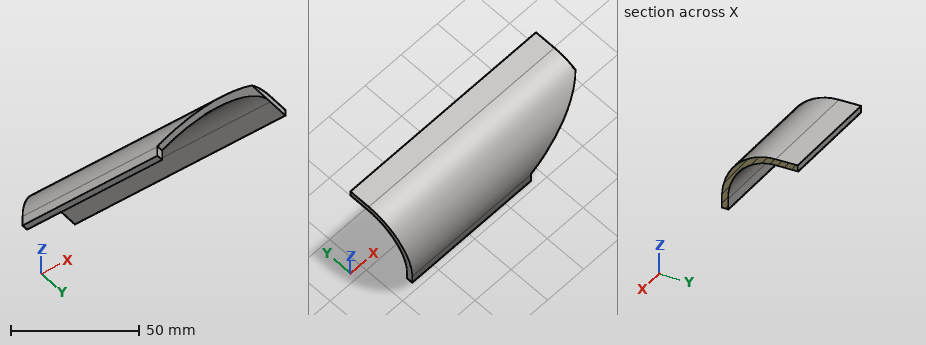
import cadquery as cq
import math

length = 103.0
thickness = 3.0
outer_radius = 24.0
top_flange = 10.0
side_flange = 5.0
lower_length = 66.0
nose_height = 3.1

width = top_flange + outer_radius
height = side_flange + outer_radius
inner_radius = outer_radius - thickness


def bent_sheet():
    """Flat top, quarter-round bend and short vertical flange, extruded along X."""
    diagonal = math.cos(math.radians(45))
    outer_mid = outer_radius - outer_radius * diagonal
    inner_mid = outer_radius - inner_radius * diagonal
    return (
        cq.Workplane("YZ")
        .moveTo(width, height)
        .lineTo(outer_radius, height)
        .threePointArc((outer_mid, height - outer_mid), (0, side_flange))
        .lineTo(0, 0)
        .lineTo(thickness, 0)
        .lineTo(thickness, side_flange)
        .threePointArc((inner_mid, height - inner_mid), (outer_radius, height - thickness))
        .lineTo(width, height - thickness)
        .close()
        .extrude(length)
    )


def side_trim():
    """Side silhouette with the sloping end, extruded across the full width."""
    return (
        cq.Workplane("XZ")
        .polyline([
            (0, 0),
            (lower_length, 0),
            (lower_length, side_flange),
            (length, height - nose_height),
            (length, height),
            (0, height),
        ])
        .close()
        .extrude(-width)
    )


result = bent_sheet().intersect(side_trim())